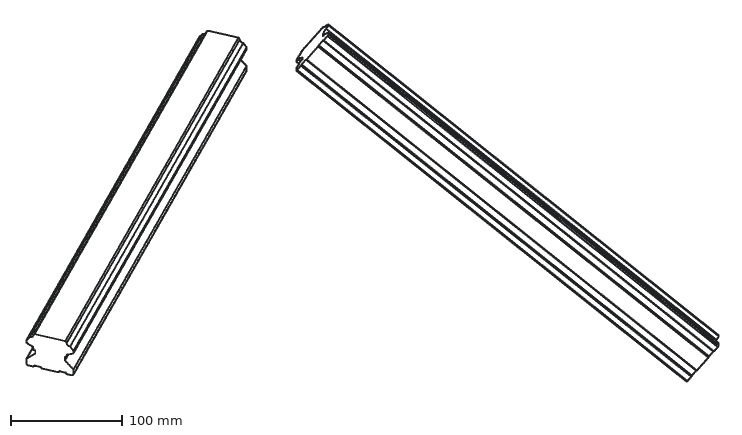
import cadquery as cq

length = 460.0
width = 45.0
height = 38.0

base_side_top = 7.5
base_chamfer = 1.5

neck_half_width = 14.3
ledge_height = 19.5

nose_bottom = 26.0
nose_top = 29.0
groove_inner = 16.0
groove_outer = 19.5
lower_groove_top = 24.0
groove_radius = 3.0
upper_groove_bottom = 33.0
upper_groove_top = 36.5
top_half_width = 14.5

relief_mouth = 8.0
relief_floor = 6.0
relief_depth = 1.5
relief_offset = 12.0

half_width = width / 2
flank_top = base_side_top + half_width - neck_half_width


def half_rail():
    """The +X half of the rail, swept along its full length."""
    profile = (
        cq.Workplane("XZ", origin=(0, length / 2, 0))
        .lineTo(half_width - base_chamfer, 0)
        .lineTo(half_width, base_chamfer)
        .lineTo(half_width, base_side_top)
        .lineTo(neck_half_width, flank_top)
        .lineTo(neck_half_width, ledge_height)
        .lineTo(groove_inner, ledge_height)
        .radiusArc((groove_outer, lower_groove_top), groove_radius)
        .lineTo(half_width, nose_bottom)
        .lineTo(half_width, nose_top)
        .lineTo(groove_outer, upper_groove_bottom)
        .radiusArc((groove_inner, upper_groove_top), groove_radius)
        .lineTo(top_half_width, height)
        .lineTo(0, height)
        .close()
    )
    return profile.extrude(length)


def relief_groove():
    """Shallow groove with sloping sides, cut into the underside of the +X half."""
    profile = (
        cq.Workplane("XZ", origin=(relief_offset, length / 2, 0))
        .moveTo(-relief_mouth / 2, 0)
        .lineTo(relief_mouth / 2, 0)
        .lineTo(relief_floor / 2, relief_depth)
        .lineTo(-relief_floor / 2, relief_depth)
        .close()
    )
    return profile.extrude(length)


result = half_rail().cut(relief_groove()).mirror("YZ", union=True).clean()